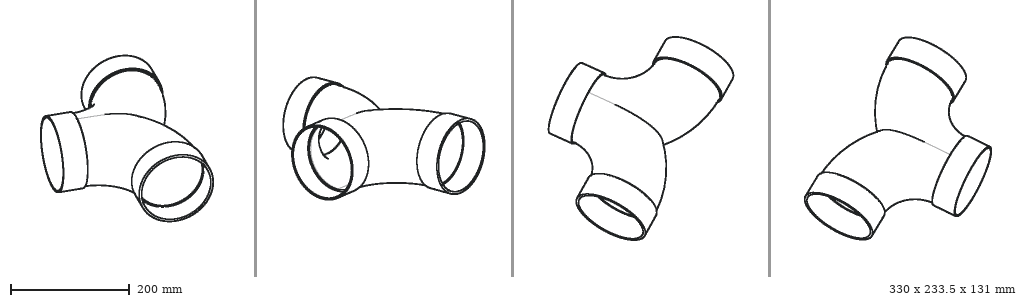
import cadquery as cq

bend_radius = 125.0
pipe_diameter = 125.0
bore_diameter = 118.8
collar_diameter = 131.0
collar_length = 43.0
front_socket_diameter = 125.0
front_socket_depth = 40.0
side_socket_diameter = 122.0
side_socket_depth = 43.0
total_length_x = 330.0

front_face_y = -(bend_radius + collar_length)
side_face_x = total_length_x / 2


def elbow(side, diameter):
    """Solid quarter bend from the front port to a side port; side is -1 (left) or 1 (right)."""
    return (
        cq.Workplane("XZ", origin=(0, -bend_radius, 0))
        .circle(diameter / 2)
        .revolve(90, (side * bend_radius, 0, 0), (side * bend_radius, -side, 0))
    )


def both_elbows(diameter):
    return elbow(-1, diameter).union(elbow(1, diameter))


def front_cylinder(diameter, length):
    """Cylinder reaching inward from the front port face."""
    return cq.Workplane("XZ", origin=(0, front_face_y, 0)).circle(diameter / 2).extrude(-length)


def side_cylinder(side, diameter, length):
    """Cylinder reaching inward from a side port face."""
    return (
        cq.Workplane("YZ", origin=(side * side_face_x, 0, 0))
        .circle(diameter / 2)
        .extrude(-side * length)
    )


outside = both_elbows(pipe_diameter).union(front_cylinder(collar_diameter, collar_length))
for side in (-1, 1):
    outside = outside.union(side_cylinder(side, collar_diameter, collar_length))

inside = both_elbows(bore_diameter)
inside = inside.union(front_cylinder(bore_diameter, collar_length))
inside = inside.union(front_cylinder(front_socket_diameter, front_socket_depth))
for side in (-1, 1):
    inside = inside.union(side_cylinder(side, side_socket_diameter, side_socket_depth))

result = outside.cut(inside)